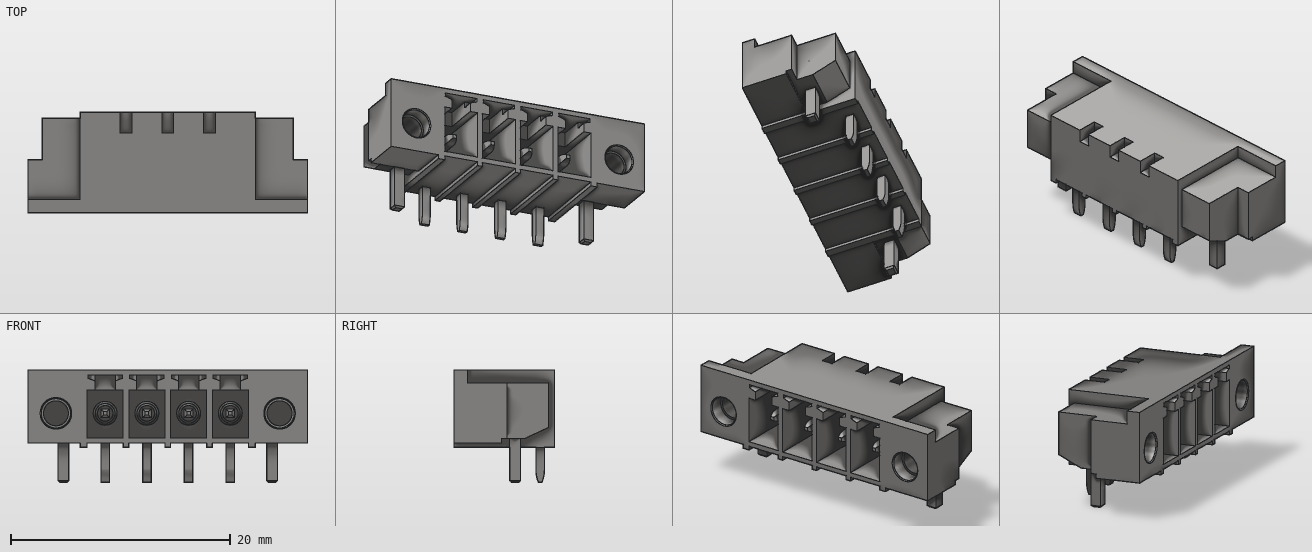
import cadquery as cq


pole_count = 4
pitch = 3.81
pole_xs = [(i - (pole_count - 1) / 2) * pitch for i in range(pole_count)]
wall_xs = [(i - (pole_count - 2) / 2) * pitch for i in range(pole_count - 1)]
contact_z = 3.1

total_width = 25.53
depth = 9.2
top_z = 7.07
underside_z = 0.38
body_width = 16.0
flange_thickness = 1.23

wing_top_z = 5.85
wing_back_y = 8.66
wing_shoulder_y = 4.87
wing_back_width = 22.92
wing_step_y = 4.33
wing_step_z = 0.78
wing_slope_y = 6.43
wing_slope_z = 1.82

pocket_width = 3.3
pocket_floor_z = 0.84
pocket_top_z = 5.22
pocket_depth = 6.6
keyway_width = 1.86
keyway_wide_width = 3.16
keyway_top_z = 6.61
keyway_lip_z = 6.3
keyway_neck_z = 6.06
keyway_depth = 4.0
keyway_wide_depth = flange_thickness

boss_radius = 0.9
boss_height = 0.5
boss_fillet = 0.19

slot_width = 1.08
slot_length = 1.92

screw_x = 10.21
screw_bore_radius = 1.34
screw_bore_depth = 1.4
screw_hole_radius = 1.14
screw_hole_depth = 6.0
screw_chamfer = 0.1

contact_size = 0.8
contact_front_y = 1.36
contact_leg_y = 7.88
contact_bottom_z = -3.2
tip_length = 1.15
tip_size = 0.34

post_size = 1.0
post_x = pole_xs[-1] + pitch
post_y = 5.6
post_top_z = wing_step_z + 1.0
post_chamfer = 0.17


def block(x_range, y_range, z_range):
    """Box that spans the given ranges."""
    (x0, x1), (y0, y1), (z0, z1) = x_range, y_range, z_range
    return cq.Workplane("XY").box(x1 - x0, y1 - y0, z1 - z0, centered=False).translate((x0, y0, z0))


def front_plane(x, y, z):
    """Plane at a point, facing +Y, with local x along -X and local y along +Z."""
    return cq.Workplane(cq.Plane(origin=(x, y, z), xDir=(-1, 0, 0), normal=(0, 1, 0)))


def centred(width, x=0.0):
    """Range of the given width about x."""
    return (x - width / 2, x + width / 2)


def make_wings():
    """Both wings, as one profile along X with the rear corners cut narrower."""
    wings = (
        cq.Workplane("YZ")
        .moveTo(0, underside_z)
        .lineTo(wing_step_y, underside_z)
        .lineTo(wing_step_y, wing_step_z)
        .lineTo(wing_slope_y, wing_step_z)
        .lineTo(wing_back_y, wing_slope_z)
        .lineTo(wing_back_y, wing_top_z)
        .lineTo(0, wing_top_z)
        .close()
        .extrude(total_width / 2, both=True)
    )
    front_part = block(centred(total_width), (0, wing_shoulder_y), (0, top_z))
    back_part = block(centred(wing_back_width), (0, wing_back_y), (0, top_z))
    return wings.intersect(front_part.union(back_part))


def make_board_channel(x):
    """Channel under one pole; what stays between the channels are the feet."""
    return block(centred(pocket_width, x), (0, depth), (0, underside_z))


def make_pocket(x):
    """Mating pocket of one pole with its T-shaped keyway."""
    pocket = block(centred(pocket_width, x), (0, pocket_depth), (pocket_floor_z, pocket_top_z))
    neck = block(centred(keyway_width, x), (0, keyway_depth), (contact_z, keyway_top_z))
    neck_half = keyway_width / 2
    wide_half = keyway_wide_width / 2
    wide_head = (
        front_plane(x, 0, 0)
        .polyline(
            [
                (neck_half, keyway_neck_z),
                (wide_half, keyway_lip_z),
                (wide_half, keyway_top_z),
                (-wide_half, keyway_top_z),
                (-wide_half, keyway_lip_z),
                (-neck_half, keyway_neck_z),
            ]
        )
        .close()
        .extrude(keyway_wide_depth)
    )
    return pocket.union(neck).union(wide_head)


def make_boss(x):
    """Boss around one contact, with a rounded rim and a fillet into the back wall."""
    rim = boss_radius - boss_fillet
    base = boss_radius + boss_fillet
    profile = (
        cq.Workplane("XY")
        .lineTo(base, 0)
        .radiusArc((boss_radius, -boss_fillet), boss_fillet)
        .lineTo(boss_radius, boss_fillet - boss_height)
        .radiusArc((rim, -boss_height), -boss_fillet)
        .lineTo(0, -boss_height)
        .close()
    )
    return profile.revolve(360, (0, 0, 0), (0, 1, 0)).translate((x, pocket_depth, contact_z))


def make_screw_hole(x):
    """Stepped blind hole, chamfered at the mating face."""
    mouth = screw_bore_radius + screw_chamfer
    profile = (
        cq.Workplane("XY")
        .lineTo(mouth, 0)
        .lineTo(screw_bore_radius, screw_chamfer)
        .lineTo(screw_bore_radius, screw_bore_depth)
        .lineTo(screw_hole_radius, screw_bore_depth)
        .lineTo(screw_hole_radius, screw_hole_depth)
        .lineTo(0, screw_hole_depth)
        .close()
    )
    return profile.revolve(360, (0, 0, 0), (0, 1, 0)).translate((x, 0, contact_z))


def make_housing(inserts):
    """Housing with a matching seat for every insert."""
    housing = block(centred(body_width), (0, depth), (0, top_z))
    housing = housing.union(block(centred(total_width), (0, flange_thickness), (underside_z, top_z)))
    housing = housing.union(make_wings())
    for x in pole_xs:
        housing = housing.cut(make_board_channel(x))
        housing = housing.cut(make_pocket(x))
        housing = housing.union(make_boss(x))
    for x in wall_xs:
        slot = block(centred(slot_width, x), (depth - slot_length, depth), (wing_top_z, top_z))
        housing = housing.cut(slot)
    for x in (-screw_x, screw_x):
        housing = housing.cut(make_screw_hole(x))
    for insert in inserts:
        housing = housing.cut(insert)
    return housing


def make_tapered_bar(plane, length):
    """Square bar along local +y from a tip at the origin; arcs narrow the tip in local x only."""
    half = contact_size / 2
    tip_half = tip_size / 2
    inset = half - tip_half
    arc_radius = (tip_length**2 + inset**2) / (2 * inset)
    return (
        cq.Workplane(plane)
        .moveTo(-tip_half, 0)
        .lineTo(tip_half, 0)
        .radiusArc((half, tip_length), -arc_radius)
        .lineTo(half, length)
        .lineTo(-half, length)
        .lineTo(-half, tip_length)
        .radiusArc((-tip_half, 0), -arc_radius)
        .close()
        .extrude(half, both=True)
    )


def make_contact(x):
    """L-shaped contact: pin tapered on four sides, leg tapered on two."""
    pin_origin = (x, contact_front_y, contact_z)
    leg_origin = (x, contact_leg_y, contact_bottom_z)
    pin_length = contact_leg_y + contact_size / 2 - contact_front_y
    leg_length = contact_z + contact_size / 2 - contact_bottom_z
    flat_pin = make_tapered_bar(cq.Plane(pin_origin, xDir=(1, 0, 0), normal=(0, 0, 1)), pin_length)
    upright_pin = make_tapered_bar(cq.Plane(pin_origin, xDir=(0, 0, -1), normal=(1, 0, 0)), pin_length)
    leg = make_tapered_bar(cq.Plane(leg_origin, xDir=(0, 1, 0), normal=(1, 0, 0)), leg_length)
    return flat_pin.intersect(upright_pin).union(leg)


def make_post(x):
    """Square solder post, chamfered around its lower end."""
    post = block(centred(post_size, x), centred(post_size, post_y), (contact_bottom_z, post_top_z))
    return post.faces("<Z").chamfer(post_chamfer)


contacts = [make_contact(x) for x in pole_xs]
posts = [make_post(x) for x in (-post_x, post_x)]
housing = make_housing(contacts + posts)

result = cq.Compound.makeCompound([body.solids().val() for body in [housing, *contacts, *posts]])